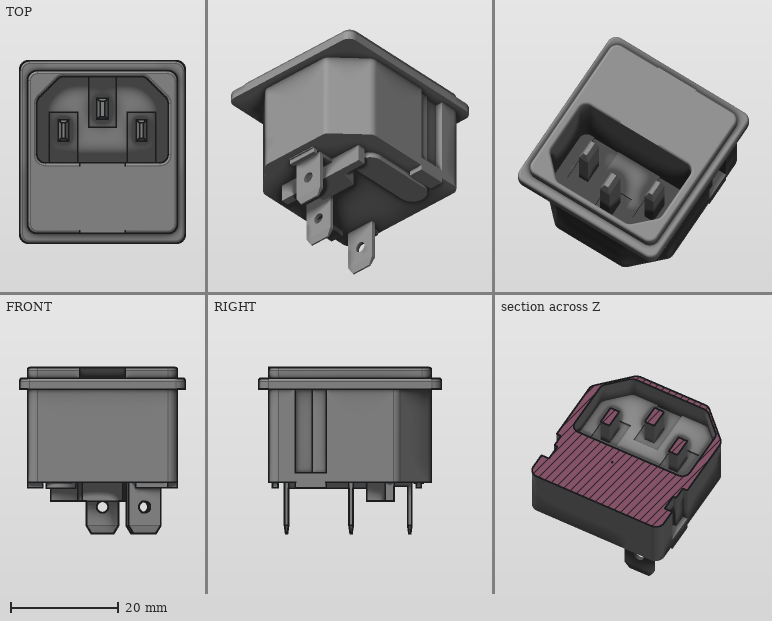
import cadquery as cq


flange_width = 30.9
flange_length = 34.1
overall_height = 31.0
flange_thickness = 2.0
collar_height = 2.0
body_width = 27.95
body_length = 30.35
body_depth = 17.43
corner_radius = 1.77
edge_radius = 0.5
body_chamfer = 6.4

collar_top = flange_thickness + collar_height
terminal_end = collar_top - overall_height
side_x = body_width / 2
front_y = -body_length / 2

socket_half_width = 12.25
socket_front = -2.0
socket_back = 14.1
socket_chamfer = 4.33
socket_radius = 1.6
socket_depth = 16.03
socket_floor = collar_top - socket_depth
pocket_depth = 0.5
line_pocket_width = 5.35
line_pocket_back = 7.45
earth_pocket_width = 5.22
earth_pocket_front = 4.6

pin_length = 3.92
pin_taper_height = 1.8
pin_side_taper = 0.6
pin_end_taper = 0.55
line_pin_width = 1.95
line_pin_x = 7.25
line_pin_y = 4.02
line_pin_top = -0.35
earth_pin_width = 2.1
earth_pin_y = 8.05
earth_pin_top = 2.25

grip_width = 8.42
grip_undercut = 1.75

slot_back = -4.47
slot_step = -7.02
slot_front = -10.2
slot_bottom = -15.65
slot_shallow_depth = 0.95
slot_deep_depth = 1.6

foot_height = 1.0
side_foot_width = 2.85
front_foot_left = 6.2
front_foot_right = 12.2
front_foot_y = -13.95
front_foot_thickness = 1.1
rear_foot_width = 6.0
rear_foot_y = 12.82
rear_foot_thickness = 0.95
rear_foot_pad_thickness = 1.6
rear_foot_pad_height = 0.15
link_cover_x = -7.75
link_cover_width = 5.52
link_cover_back = 5.73
link_cover_front = -11.55
link_cover_height = 1.1
block_height = 3.48
block_half_width = 9.7
block_back = 8.22
block_shoulder = 6.6
block_front = 3.1
block_neck_half_width = 4.65
block_front_half_width = 3.75

terminal_width = 6.05
terminal_thickness = 0.8
terminal_tip_width = 4.15
terminal_tip_thickness = 0.35
terminal_tip_height = 1.55
terminal_hole_diameter = 2.1
terminal_hole_z = -22.0
earth_terminal_y = 11.15
line_terminal_x = 7.45
line_terminal_y = 0.2
fuse_terminal_x = 7.88
fuse_terminal_y = -11.83
bracket_height = 0.75


def box(x0, x1, y0, y1, z0, z1):
    """A block between two opposite corners."""
    return cq.Workplane("XY").box(x1 - x0, y1 - y0, z1 - z0, centered=False).translate((x0, y0, z0))


def rounded_slab(width, length, bottom, top):
    """A slab with rounded vertical corners and a rounded upper rim."""
    slab = box(-width / 2, width / 2, -length / 2, length / 2, bottom, top)
    return slab.edges("|Z").fillet(corner_radius).faces(">Z").edges().fillet(edge_radius)


def make_body():
    body = box(-side_x, side_x, front_y, -front_y, -body_depth, 0)
    body = body.edges("|Z and >Y").chamfer(body_chamfer)
    return body.edges("|Z").fillet(corner_radius)


def make_socket():
    """The space for the plug, with its two rear corners cut off."""
    cavity = box(-socket_half_width, socket_half_width, socket_front, socket_back, socket_floor, collar_top)
    cavity = cavity.edges("|Z and >Y").chamfer(socket_chamfer)
    return cavity.edges("|Z").fillet(socket_radius)


def make_pin(x, y, width, top):
    """A contact pin with a tapered tip, rooted in the pocket in the socket floor."""
    shoulder = top - pin_taper_height
    bottom = socket_floor - pocket_depth
    shaft = cq.Workplane("XY", origin=(x, y, bottom)).rect(width, pin_length).extrude(shoulder - bottom)
    tip = (
        cq.Workplane("XY", origin=(x, y, shoulder))
        .rect(width, pin_length)
        .workplane(offset=pin_taper_height)
        .rect(width - 2 * pin_side_taper, pin_length - 2 * pin_end_taper)
        .loft()
    )
    return shaft.union(tip)


def make_latch_slot():
    """A stepped slot in the -X wall, open upwards to the flange."""
    shallow = box(-side_x, -side_x + slot_shallow_depth, slot_step, slot_back, slot_bottom, 0)
    deep = box(-side_x, -side_x + slot_deep_depth, slot_front, slot_step, slot_bottom, 0)
    return shallow.union(deep)


def make_terminal(x, y):
    """A blade terminal with a hole and a tip tapered in width and thickness."""
    shoulder = terminal_end + terminal_tip_height
    blade = (
        cq.Workplane("XY", origin=(x, y, shoulder))
        .rect(terminal_width, terminal_thickness)
        .extrude(-body_depth - shoulder)
    )
    tip = (
        cq.Workplane("XY", origin=(x, y, terminal_end))
        .rect(terminal_tip_width, terminal_tip_thickness)
        .workplane(offset=terminal_tip_height)
        .rect(terminal_width, terminal_thickness)
        .loft()
    )
    hole = (
        cq.Workplane("XZ", origin=(x, y, terminal_hole_z))
        .circle(terminal_hole_diameter / 2)
        .extrude(terminal_thickness, both=True)
    )
    return blade.union(tip).cut(hole)


def make_block():
    """The stepped block under the socket, narrower towards the front."""
    right_side = [
        (block_half_width, block_back),
        (block_half_width, block_shoulder),
        (block_neck_half_width, block_shoulder),
        (block_front_half_width, block_front),
    ]
    left_side = [(-x, y) for x, y in reversed(right_side)]
    outline = cq.Workplane("XY", origin=(0, 0, -body_depth)).polyline(right_side + left_side).close()
    return outline.extrude(-block_height)


def make_link_cover():
    """The round-ended cover under the fuse."""
    return (
        cq.Workplane("XY", origin=(link_cover_x, (link_cover_back + link_cover_front) / 2, -body_depth))
        .slot2D(link_cover_back - link_cover_front, link_cover_width, 90)
        .extrude(-link_cover_height)
    )


result = make_body()
result = result.union(rounded_slab(flange_width, flange_length, 0, flange_thickness))
result = result.union(rounded_slab(body_width, body_length, 0, collar_top))

reach = 0.05
result = result.cut(make_socket())
mouth = cq.selectors.BoxSelector(
    (-socket_half_width - reach, socket_front - reach, collar_top - reach),
    (socket_half_width + reach, socket_back + reach, collar_top + reach),
)
result = result.edges(mouth).fillet(edge_radius)

half_grip = grip_width / 2
result = result.union(box(-half_grip, half_grip, front_y, socket_front, flange_thickness, collar_top))
undercut = (
    cq.Workplane("YZ", origin=(-half_grip, 0, 0))
    .moveTo(front_y, collar_top)
    .lineTo(front_y, flange_thickness)
    .lineTo(front_y + grip_undercut, flange_thickness)
    .close()
    .extrude(grip_width)
)
result = result.cut(undercut)

pocket_floor = socket_floor - pocket_depth
half_earth_pocket = earth_pocket_width / 2
result = result.cut(
    box(-half_earth_pocket, half_earth_pocket, earth_pocket_front, socket_back, pocket_floor, socket_floor)
)
for x in (-line_pin_x, line_pin_x):
    left = x - line_pocket_width / 2
    right = x + line_pocket_width / 2
    result = result.cut(box(left, right, socket_front, line_pocket_back, pocket_floor, socket_floor))
    result = result.union(make_pin(x, line_pin_y, line_pin_width, line_pin_top))
result = result.union(make_pin(0, earth_pin_y, earth_pin_width, earth_pin_top))

foot_bottom = -body_depth - foot_height
slot = make_latch_slot()
side_foot = box(-side_x, -side_x + side_foot_width, slot_front, slot_back, foot_bottom, -body_depth)
result = result.cut(slot).cut(slot.mirror("YZ"))
result = result.union(side_foot).union(side_foot.mirror("YZ"))

half_rear_foot = rear_foot_width / 2
pad_bottom = -body_depth - rear_foot_pad_height
for left, right, y, thickness, bottom in (
    (front_foot_left, front_foot_right, front_foot_y, front_foot_thickness, foot_bottom),
    (-half_rear_foot, half_rear_foot, rear_foot_y, rear_foot_thickness, foot_bottom),
    (-half_rear_foot, half_rear_foot, rear_foot_y, rear_foot_pad_thickness, pad_bottom),
):
    result = result.union(box(left, right, y - thickness / 2, y + thickness / 2, bottom, -body_depth))

result = result.union(make_link_cover()).union(make_block())

for x, y in (
    (0, earth_terminal_y),
    (line_terminal_x, line_terminal_y),
    (fuse_terminal_x, fuse_terminal_y),
):
    result = result.union(make_terminal(x, y))
half_terminal = terminal_width / 2
bracket_bottom = -body_depth - bracket_height
result = result.union(
    box(-half_terminal, half_terminal, block_back, earth_terminal_y, bracket_bottom, -body_depth)
)